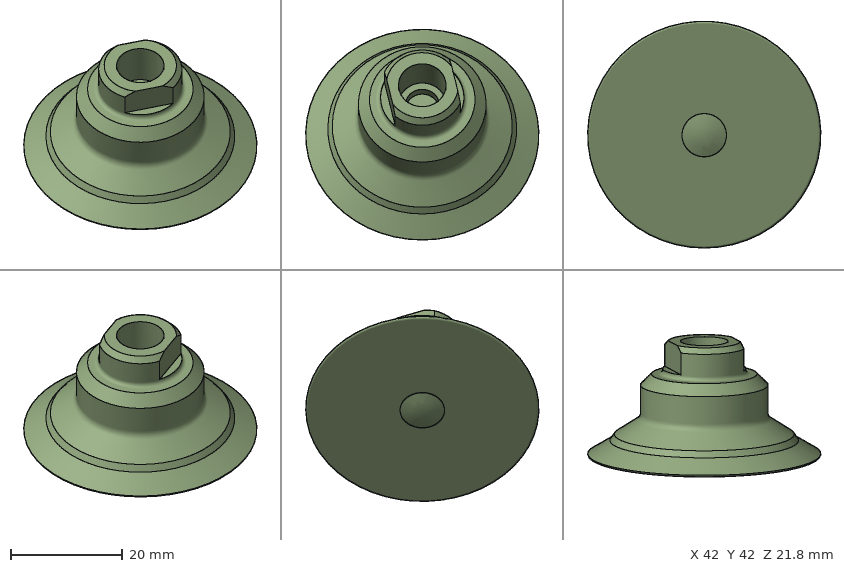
import math

import cadquery as cq

step_bottom_z = 2.83
step_top_z = 3.97
cone_top_z = 7.05
body_chamfer_z = 13.0
shelf_z = 15.0
flat_floor_z = 16.0
top_z = 21.0

lip_radius = 21.0
lip_round_radius = 0.4
step_bottom_radius = 17.0
step_top_radius = 16.2
body_radius = 23.0 / 2
shelf_radius = 9.5
cone_fillet_radius = 1.5

neck_radius = 15.0 / 2
neck_fillet_radius = 0.8
neck_chamfer = 1.0
flat_width = 12.0

bore_diameter = 8.54
bore_depth = 8.0
inner_bore_diameter = 6.0
inner_bore_depth = 10.0

button_radius = 8.0 / 2
button_side_height = 0.1
button_height = 0.8
button_root_z = 1.0


def make_body():
    """Revolve the cup, the cylindrical body and the neck as one outline."""
    cone_angle = math.atan2(cone_top_z - step_top_z, step_top_radius - body_radius)
    turn = math.pi / 2 - cone_angle
    tangent_length = cone_fillet_radius * math.tan(turn / 2)
    fillet_top_z = cone_top_z + tangent_length
    fillet_center_radius = body_radius + cone_fillet_radius

    def cone_fillet_point(angle):
        return (
            fillet_center_radius - cone_fillet_radius * math.cos(angle),
            fillet_top_z - cone_fillet_radius * math.sin(angle),
        )

    neck_fillet_center = (neck_radius + neck_fillet_radius, shelf_z + neck_fillet_radius)
    neck_fillet_middle = (
        neck_fillet_center[0] - neck_fillet_radius * math.sqrt(0.5),
        neck_fillet_center[1] - neck_fillet_radius * math.sqrt(0.5),
    )

    outline = (
        cq.Workplane("XZ")
        .moveTo(0, 0)
        .lineTo(lip_radius - lip_round_radius, 0)
        .tangentArcPoint((lip_radius, lip_round_radius), relative=False)
        .lineTo(step_bottom_radius, step_bottom_z)
        .lineTo(step_top_radius, step_top_z)
        .lineTo(*cone_fillet_point(turn))
        .threePointArc(cone_fillet_point(turn / 2), cone_fillet_point(0))
        .lineTo(body_radius, body_chamfer_z)
        .lineTo(shelf_radius, shelf_z)
        .lineTo(neck_fillet_center[0], shelf_z)
        .threePointArc(neck_fillet_middle, (neck_radius, neck_fillet_center[1]))
        .lineTo(neck_radius, top_z - neck_chamfer)
        .lineTo(neck_radius - neck_chamfer, top_z)
        .lineTo(0, top_z)
        .close()
    )
    return outline.revolve(360, (0, 0, 0), (0, 1, 0))


def make_button():
    """Revolve the domed button, rooted inside the cup and bulging below its base."""
    cap_height = button_height - button_side_height
    sphere_radius = (button_radius**2 + cap_height**2) / (2 * cap_height)
    middle_radius = button_radius / 2
    middle_drop = sphere_radius - math.sqrt(sphere_radius**2 - middle_radius**2)

    outline = (
        cq.Workplane("XZ")
        .moveTo(0, button_root_z)
        .lineTo(button_radius, button_root_z)
        .lineTo(button_radius, -button_side_height)
        .threePointArc((middle_radius, middle_drop - button_height), (0, -button_height))
        .close()
    )
    return outline.revolve(360, (0, 0, 0), (0, 1, 0))


def cut_wrench_flats(part):
    """Cut two parallel flats across X, with floors just above the neck fillet."""
    cut_depth = neck_radius - flat_width / 2
    for side in (-1, 1):
        cutter = (
            cq.Workplane("XY", origin=(side * (flat_width + cut_depth) / 2, 0, flat_floor_z))
            .rect(cut_depth, 2 * neck_radius)
            .extrude(top_z - flat_floor_z)
        )
        part = part.cut(cutter)
    return part


def cut_bore(part):
    """Bore the neck, leaving a smaller blind hole in the floor of the bore."""
    for diameter, depth in ((bore_diameter, bore_depth), (inner_bore_diameter, inner_bore_depth)):
        cutter = cq.Workplane("XY", origin=(0, 0, top_z)).circle(diameter / 2).extrude(-depth)
        part = part.cut(cutter)
    return part


result = cut_bore(cut_wrench_flats(make_body().union(make_button())))